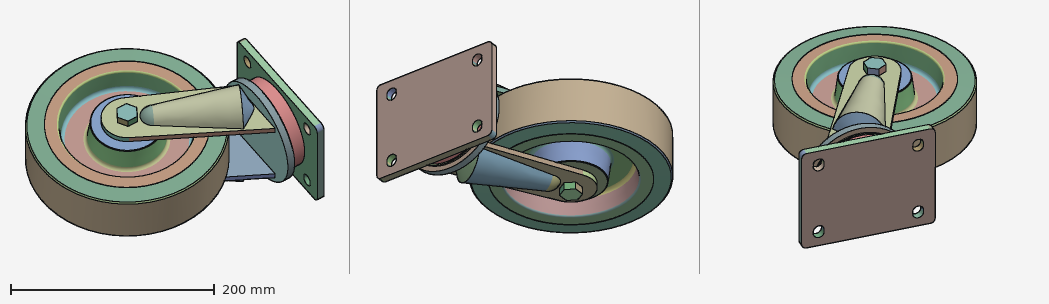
import cadquery as cq
import math


wheel_radius = 200.0 / 2
tyre_shoulder_half_width = 24.3
tyre_edge_half_width = 25.7
tyre_edge_inset = 1.5
tyre_inner_half_width = 27.2
core_radius = 162.5 / 2
core_half_width = 27.7
recess_radius = 67.1
recess_lip = 1.7
recess_floor_radius = 61.2
recess_floor_fillet = 3.7
web_half_width = 5.0
hub_half_width = 30.1
hub_radius = 36.5
hub_edge_chamfer = 0.7
hub_foot_radius = 39.2
hub_foot_fillet = 3.5

axle_diameter = 20.0
hex_across_flats = 19.5
hex_outer_height = 45.5

plate_length = 139.6
plate_height = 110.0
plate_thickness = 8.0
plate_corner_radius = 5.1
plate_back_y = 245 - wheel_radius
plate_front_y = plate_back_y - plate_thickness
swivel_x = 60.3
neck_diameter = 95.8
collar_diameter = 98.7
flange_diameter = 110.0
collar_front_y = 120.3
collar_thickness = 2.0
flange_front_y = 112.2

slot_width = 11.3
slot_length = 13.5
slot_spacing_x = 104.0
slot_spacing_z = 77.7

fork_inner_z = 31.5
fork_outer_z = 37.5
fork_end_radius = 25.7
fork_top_left_x = 26.2
fork_top_right_x = 93.0

bulge_axis_z = 32.5
bulge_start = 25.5
bulge_end = 112.0
bulge_small_radius = 13.7
bulge_large_radius = 26.7
bulge_tip_length = 16.0


def make_tyre():
    """Ring around the core, with slightly sloping faces and bevelled edges."""
    tread_radius = wheel_radius - tyre_edge_inset
    return (
        cq.Workplane("XZ")
        .polyline([
            (core_radius, -tyre_inner_half_width),
            (tread_radius, -tyre_edge_half_width),
            (wheel_radius, -tyre_shoulder_half_width),
            (wheel_radius, tyre_shoulder_half_width),
            (tread_radius, tyre_edge_half_width),
            (core_radius, tyre_inner_half_width),
        ])
        .close()
        .revolve(360, (0, 0), (0, 1))
    )


def make_core():
    """Rim, web and hub: the upper half is revolved and then mirrored."""
    lip_radius = recess_radius + recess_lip
    wall_foot_radius = recess_floor_radius + recess_floor_fillet
    upper_half = (
        cq.Workplane("XZ")
        .lineTo(core_radius, 0)
        .lineTo(core_radius, core_half_width)
        .lineTo(lip_radius, core_half_width)
        .radiusArc((recess_radius, core_half_width - recess_lip), -recess_lip)
        .lineTo(wall_foot_radius, web_half_width + recess_floor_fillet)
        .radiusArc((recess_floor_radius, web_half_width), recess_floor_fillet)
        .lineTo(hub_foot_radius + hub_foot_fillet, web_half_width)
        .radiusArc((hub_foot_radius, web_half_width + hub_foot_fillet), hub_foot_fillet)
        .lineTo(hub_radius, hub_half_width - hub_edge_chamfer)
        .lineTo(hub_radius - hub_edge_chamfer, hub_half_width)
        .lineTo(0, hub_half_width)
        .close()
        .revolve(360, (0, 0), (0, 1))
    )
    return upper_half.union(upper_half.mirror("XY"))


def make_axle():
    """Round axle through the hub, joining it to both fork legs."""
    return cq.Workplane("XY").circle(axle_diameter / 2).extrude(fork_outer_z, both=True)


def swivel_disc(diameter, front_y, back_y):
    """Disc on the swivel axis, which runs along Y."""
    return (
        cq.Workplane("XZ", origin=(swivel_x, back_y, 0))
        .circle(diameter / 2)
        .extrude(back_y - front_y)
    )


def make_mount():
    """Mounting plate with four slots, and the stepped swivel head below it."""
    plate = (
        cq.Workplane("XZ", origin=(swivel_x, plate_back_y, 0))
        .rect(plate_length, plate_height)
        .extrude(plate_thickness)
        .edges("|Y")
        .fillet(plate_corner_radius)
    )
    slots = (
        cq.Workplane("XZ", origin=(swivel_x, plate_back_y, 0))
        .rect(slot_spacing_x, slot_spacing_z, forConstruction=True)
        .vertices()
        .slot2D(slot_length, slot_width, 90)
        .extrude(plate_thickness)
    )
    neck = swivel_disc(neck_diameter, collar_front_y, plate_front_y)
    collar = swivel_disc(collar_diameter, collar_front_y, collar_front_y + collar_thickness)
    flange = swivel_disc(flange_diameter, flange_front_y, collar_front_y)
    return plate.cut(slots).union(neck).union(collar).union(flange)


def tangent_point(x, y, side):
    """Point where a line from (x, y) touches the fork's round end; side is +1 or -1."""
    angle = math.atan2(y, x) + side * math.acos(fork_end_radius / math.hypot(x, y))
    return (fork_end_radius * math.cos(angle), fork_end_radius * math.sin(angle))


def make_fork_leg():
    """Flat leg with straight sides tangent to the round end about the axle."""
    left_touch = tangent_point(fork_top_left_x, flange_front_y, 1)
    right_touch = tangent_point(fork_top_right_x, flange_front_y, -1)
    leg_angle = math.atan2(flange_front_y, swivel_x)
    end_point = (-fork_end_radius * math.cos(leg_angle), -fork_end_radius * math.sin(leg_angle))
    return (
        cq.Workplane("XY", origin=(0, 0, fork_inner_z))
        .moveTo(fork_top_left_x, flange_front_y)
        .lineTo(*left_touch)
        .threePointArc(end_point, right_touch)
        .lineTo(fork_top_right_x, flange_front_y)
        .close()
        .extrude(fork_outer_z - fork_inner_z)
    )


def make_bulge():
    """Cone with a round small end and a blunt conical large end, kept above the leg's inner face."""
    direction = cq.Vector(swivel_x, flange_front_y, 0).normalized()
    axis_plane = cq.Plane(
        origin=(0, 0, bulge_axis_z),
        xDir=(direction.y, -direction.x, 0),
        normal=(0, 0, 1),
    )
    solid = (
        cq.Workplane(axis_plane)
        .moveTo(0, bulge_start - bulge_small_radius)
        .radiusArc((bulge_small_radius, bulge_start), -bulge_small_radius)
        .lineTo(bulge_large_radius, bulge_end)
        .lineTo(0, bulge_end + bulge_tip_length)
        .close()
        .revolve(360, (0, 0), (0, 1))
    )
    keep_size = 2 * plate_back_y
    keep_region = (
        cq.Workplane("XY", origin=(0, flange_front_y - keep_size / 2, fork_inner_z))
        .rect(keep_size, keep_size)
        .extrude(keep_size)
    )
    return solid.intersect(keep_region)


def make_hex_end():
    """Hexagonal bolt end on the outside of a fork leg, with two corners along Y."""
    across_corners = hex_across_flats / math.cos(math.pi / 6)
    return (
        cq.Workplane("XY", origin=(0, 0, fork_outer_z))
        .transformed(rotate=(0, 0, 90))
        .polygon(6, across_corners)
        .extrude(hex_outer_height - fork_outer_z)
    )


upper_side = make_fork_leg().union(make_bulge()).union(make_hex_end())
lower_side = upper_side.mirror("XY")

wheel = make_tyre().union(make_core())

result = wheel.union(make_axle()).union(make_mount()).union(upper_side).union(lower_side)